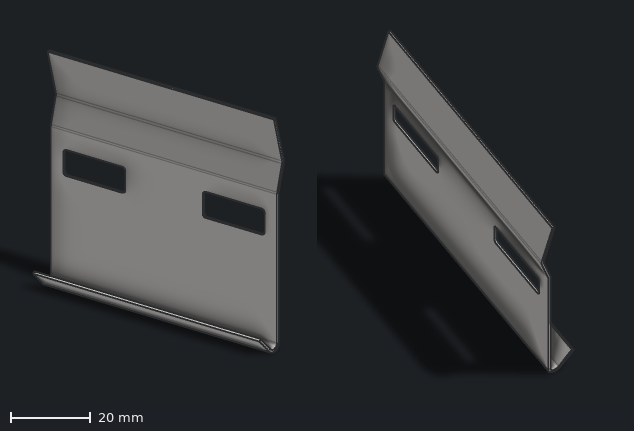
import cadquery as cq
import math

width = 73.0
thickness = 0.7
inner_radius = 1.45
outer_radius = inner_radius + thickness

hook_length = 5.7
web_length = 40.15
riser_length = 7.4
lip_length = 12.55

hook_bend = 135.0
riser_angle = 15.0
crest_bend = 2 * riser_angle

window_length = 20.0
window_height = 7.0
window_radius = 1.0
window_offset_x = 22.5
window_center_z = 33.65


def heading(angle):
    """Unit (Y, Z) vector at an angle from +Z, positive toward +Y."""
    return cq.Vector(math.sin(math.radians(angle)), math.cos(math.radians(angle)))


def add_strip(body, start, angle, length):
    """Add a straight strip whose back edge begins at start; return its end."""
    end = start + heading(angle) * length
    to_front = heading(angle - 90) * thickness
    corners = [start, end, end + to_front, start + to_front]
    strip = cq.Workplane("YZ").polyline([(p.x, p.y) for p in corners]).close().extrude(width / 2, both=True)
    return body.union(strip), end


def add_bend(body, start, angle, turn):
    """Add a bend at the back-edge point start; a positive turn leans toward +Y."""
    side = math.copysign(1, turn)
    back_radius = inner_radius if turn > 0 else outer_radius
    front_radius = inner_radius + outer_radius - back_radius
    center = start + heading(angle + 90) * (side * back_radius)

    def arc_point(radius, fraction):
        point = center + heading(angle + fraction * turn - 90) * (side * radius)
        return point.x, point.y

    bend = (
        cq.Workplane("YZ")
        .moveTo(*arc_point(back_radius, 0))
        .threePointArc(arc_point(back_radius, 0.5), arc_point(back_radius, 1))
        .lineTo(*arc_point(front_radius, 1))
        .threePointArc(arc_point(front_radius, 0.5), arc_point(front_radius, 0))
        .close()
        .extrude(width / 2, both=True)
    )
    end = cq.Vector(*arc_point(back_radius, 1))
    return body.union(bend), end


def make_sheet():
    """Build the web, then the bends and strips above it and the hook below."""
    web_bottom = cq.Vector(0, outer_radius)
    sheet, edge = add_strip(cq.Workplane("YZ"), web_bottom, 0, web_length)
    sheet, edge = add_bend(sheet, edge, 0, riser_angle)
    sheet, edge = add_strip(sheet, edge, riser_angle, riser_length)
    sheet, edge = add_bend(sheet, edge, riser_angle, -crest_bend)
    sheet, _ = add_strip(sheet, edge, riser_angle - crest_bend, lip_length)

    bend_center = web_bottom + heading(-90) * outer_radius
    bend_start = bend_center + heading(hook_bend + 90) * outer_radius
    hook_tip = bend_start - heading(hook_bend) * hook_length
    sheet, edge = add_strip(sheet, hook_tip, hook_bend, hook_length)
    sheet, _ = add_bend(sheet, edge, hook_bend, -hook_bend)
    return sheet


def make_windows():
    """Two rounded rectangular cutters placed symmetrically about X = 0."""
    return (
        cq.Workplane("XZ")
        .pushPoints([(side * window_offset_x, window_center_z) for side in (-1, 1)])
        .rect(window_length, window_height)
        .extrude(2 * thickness, both=True)
        .edges("|Y")
        .fillet(window_radius)
    )


result = make_sheet().cut(make_windows())